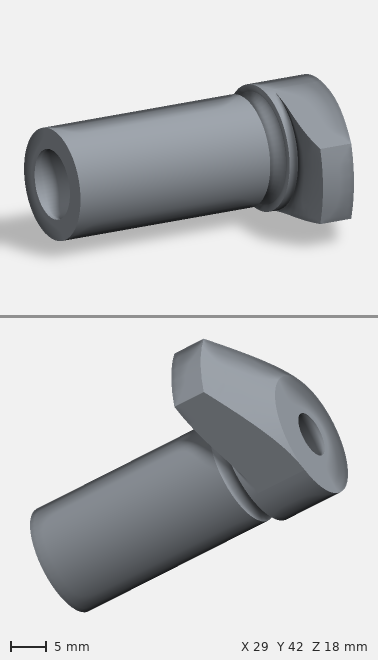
import cadquery as cq
import math

total_length = 42.0
stem_radius = 16.0 / 2
head_radius = 18.0 / 2
head_length = 9.15

groove_width = 2.5
groove_depth = 1.0

bore_radius = 6.5 / 2
counterbore_radius = 10.0 / 2
counterbore_depth = 30.25

arm_reach = 29.0 - head_radius
arm_tip_back = 5.05
arm_tip_front = 10.0
arm_underside_radius = 28.55
arm_taper = math.radians(10.8)


def cylinder(radius, start, length):
    """Cylinder on the Y axis, from depth `start` below the back of the head."""
    plane = cq.Workplane("XZ").workplane(offset=start)
    return plane.circle(radius).extrude(length)


def underside_depth(radius):
    """Depth of the arm's hollow underside, level at the arm tip."""
    inward = arm_reach - radius
    rise = arm_underside_radius - math.sqrt(arm_underside_radius**2 - inward**2)
    return arm_tip_front - rise


def make_arm():
    """Body of revolution trimmed to a wedge whose sides are tangent to the head."""
    middle_radius = (head_radius + arm_reach) / 2
    inner_depth = underside_depth(head_radius)
    disc = (
        cq.Workplane("XY")
        .lineTo(head_radius, 0)
        .lineTo(arm_reach, -arm_tip_back)
        .lineTo(arm_reach, -arm_tip_front)
        .threePointArc((middle_radius, -underside_depth(middle_radius)), (head_radius, -inner_depth))
        .lineTo(0, -inner_depth)
        .close()
        .revolve(360, (0, 0, 0), (0, 1, 0))
    )
    tangent_x = head_radius * math.sin(arm_taper)
    tangent_z = head_radius * math.cos(arm_taper)
    end_z = tangent_z - (arm_reach - tangent_x) * math.tan(arm_taper)
    wedge = (
        cq.Workplane("XZ")
        .moveTo(0, 0)
        .lineTo(tangent_x, tangent_z)
        .lineTo(arm_reach, end_z)
        .lineTo(arm_reach, -end_z)
        .lineTo(tangent_x, -tangent_z)
        .close()
        .extrude(total_length)
    )
    return disc.intersect(wedge)


def make_groove():
    """Ring with a circular-arc bottom, cut around the stem just below the head."""
    return (
        cq.Workplane("XY")
        .moveTo(stem_radius, -head_length)
        .threePointArc(
            (stem_radius - groove_depth, -head_length - groove_width / 2),
            (stem_radius, -head_length - groove_width),
        )
        .close()
        .revolve(360, (0, 0, 0), (0, 1, 0))
    )


head = cylinder(head_radius, 0, head_length)
stem = cylinder(stem_radius, head_length, total_length - head_length).cut(make_groove())
bore = cylinder(bore_radius, 0, total_length)
counterbore = cylinder(counterbore_radius, total_length - counterbore_depth, counterbore_depth)

result = head.union(stem).union(make_arm()).cut(bore).cut(counterbore)